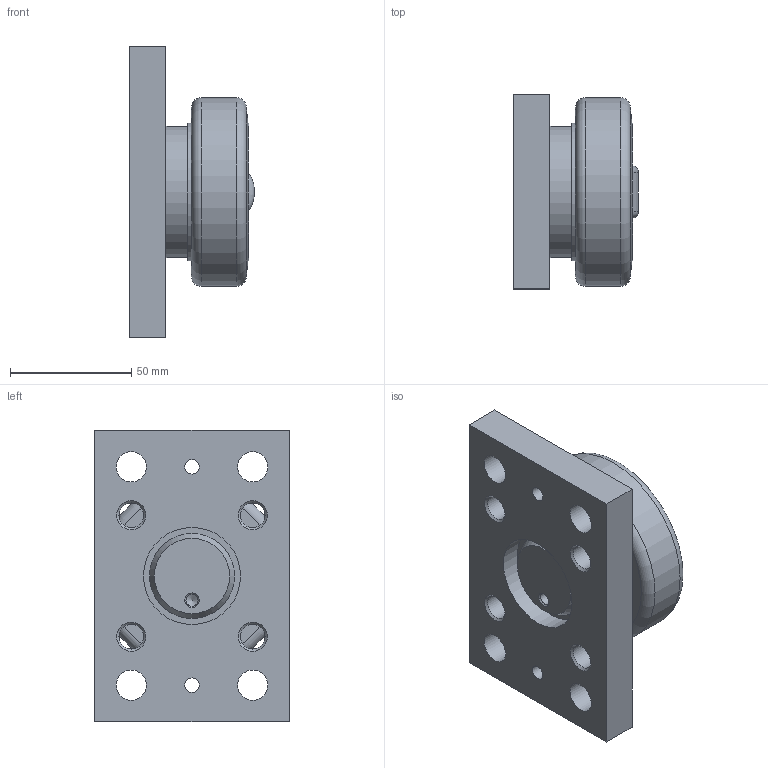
import cadquery as cq
import math

plate_thickness = 15.0
plate_width = 80.0
plate_height = 120.0

hole_offset_y = 25.0
bolt_offset_z = 45.0
bolt_diameter = 12.5
dowel_diameter = 6.0
tapped_offset_z = 25.0
tapped_diameter = 10.2
tapped_mouth_diameter = 12.0
countersink_wall_angle = 45.0

recess_diameter = 40.0
recess_depth = 8.0
pin_diameter = 35.0
pin_chamfer_radial = 2.0
pin_chamfer_length = 3.5
pin_end_x = 3.6
pin_hole_offset_z = -10.0
pin_hole_diameter = 5.0
pin_hole_mouth_diameter = 6.0
pin_hole_depth = 8.0
drill_tip_angle = 118.0

hub_diameter = 54.0
shoulder_diameter = 56.7
shoulder_x = 24.0
roller_diameter = 77.7
roller_start_x = 25.5
roller_width = 22.6
roller_fillet = 4.0
roller_face_diameter = roller_diameter - 2 * roller_fillet
cap_start_x = 48.8
cap_end_x = 49.2

overall_length = 51.5
side_roller_diameter = 27.0
side_roller_width = 22.0
side_roller_fillet = 3.0


def disc(diameter, start_x, length):
    """Cylinder about the X axis."""
    return cq.Workplane("YZ", origin=(start_x, 0, 0)).circle(diameter / 2).extrude(length)


def countersunk_cutter(positions, start_x, diameter, mouth_diameter, depth):
    """Drill cutters along +X with a conical countersink at the start."""
    plane = cq.Workplane("YZ", origin=(start_x, 0, 0)).pushPoints(positions)
    drill = plane.circle(diameter / 2).extrude(depth)
    countersink_width = (mouth_diameter - diameter) / 2
    countersink_depth = countersink_width / math.tan(math.radians(countersink_wall_angle))
    mouth = plane.circle(mouth_diameter / 2)
    countersink = mouth.extrude(countersink_depth, taper=countersink_wall_angle)
    return drill.union(countersink)


def make_plate():
    plate = cq.Workplane("XY").box(
        plate_thickness, plate_width, plate_height, centered=(False, True, True)
    )
    bolt_holes = (
        cq.Workplane("YZ")
        .rect(2 * hole_offset_y, 2 * bolt_offset_z, forConstruction=True)
        .vertices()
        .circle(bolt_diameter / 2)
        .extrude(plate_thickness)
    )
    dowel_holes = (
        cq.Workplane("YZ")
        .pushPoints([(0, bolt_offset_z), (0, -bolt_offset_z)])
        .circle(dowel_diameter / 2)
        .extrude(plate_thickness)
    )
    tapped_positions = [
        (side_y * hole_offset_y, side_z * tapped_offset_z) for side_y in (-1, 1) for side_z in (-1, 1)
    ]
    tapped_holes = countersunk_cutter(
        tapped_positions, 0, tapped_diameter, tapped_mouth_diameter, plate_thickness
    )
    recess = disc(recess_diameter, 0, recess_depth)
    return plate.cut(bolt_holes).cut(dowel_holes).cut(tapped_holes).cut(recess)


def make_pin():
    end_radius = pin_diameter / 2 - pin_chamfer_radial
    return (
        cq.Workplane("XY")
        .moveTo(pin_end_x, 0)
        .lineTo(pin_end_x, end_radius)
        .lineTo(pin_end_x + pin_chamfer_length, pin_diameter / 2)
        .lineTo(plate_thickness, pin_diameter / 2)
        .lineTo(plate_thickness, 0)
        .close()
        .revolve(360, (0, 0, 0), (1, 0, 0))
    )


def make_pin_hole_cutter():
    hole = countersunk_cutter(
        [(0, pin_hole_offset_z)], pin_end_x, pin_hole_diameter, pin_hole_mouth_diameter, pin_hole_depth
    )
    hole_radius = pin_hole_diameter / 2
    tip_height = hole_radius / math.tan(math.radians(drill_tip_angle / 2))
    tip_base = cq.Vector(pin_end_x + pin_hole_depth, 0, pin_hole_offset_z)
    tip = cq.Solid.makeCone(hole_radius, 0, tip_height, tip_base, cq.Vector(1, 0, 0))
    return hole.union(cq.Workplane(tip))


def make_main_roller():
    hub = disc(hub_diameter, plate_thickness, shoulder_x - plate_thickness)
    shoulder = disc(shoulder_diameter, shoulder_x, roller_start_x - shoulder_x)
    tyre = disc(roller_diameter, roller_start_x, roller_width).edges().fillet(roller_fillet)
    roller_end_x = roller_start_x + roller_width
    front = (
        cq.Workplane("XY")
        .moveTo(roller_end_x, 0)
        .lineTo(roller_end_x, roller_face_diameter / 2)
        .lineTo(cap_start_x, shoulder_diameter / 2)
        .lineTo(cap_end_x, shoulder_diameter / 2)
        .lineTo(cap_end_x, 0)
        .close()
        .revolve(360, (0, 0, 0), (1, 0, 0))
    )
    return hub.union(shoulder).union(tyre).union(front)


def make_side_roller():
    axis_x = overall_length - side_roller_diameter / 2
    return (
        cq.Workplane("XZ", origin=(axis_x, 0, 0))
        .circle(side_roller_diameter / 2)
        .extrude(side_roller_width / 2, both=True)
        .edges("%CIRCLE")
        .fillet(side_roller_fillet)
    )


body = make_plate().union(make_pin()).union(make_main_roller()).union(make_side_roller())
result = body.cut(make_pin_hole_cutter())